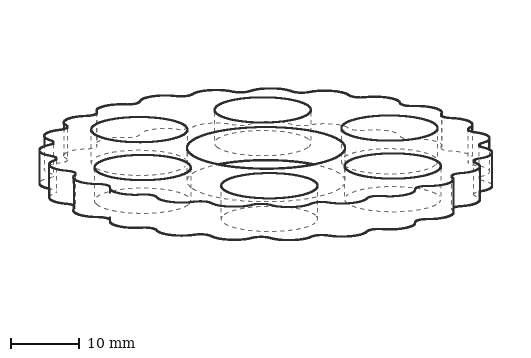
import cadquery as cq
import math

lobe_count = 23
pin_count = lobe_count + 1
eccentricity = 1.0
pin_circle_radius = 33.5
pin_radius = 1.5
thickness = 5.0

bore_diameter = 23.0

output_hole_count = 6
output_hole_diameter = 14.0
output_hole_circle_radius = 21.0

points_per_lobe = 16


def profile_point(angle):
    """Point on the lobed outline: a cycloidal curve offset inward by the pin radius."""
    lobe_phase = lobe_count * angle
    normal_tilt = math.atan2(
        -math.sin(lobe_phase),
        pin_circle_radius / (eccentricity * pin_count) - math.cos(lobe_phase),
    )
    x = (
        pin_circle_radius * math.cos(angle)
        - pin_radius * math.cos(angle + normal_tilt)
        - eccentricity * math.cos(pin_count * angle)
    )
    y = (
        pin_circle_radius * math.sin(angle)
        - pin_radius * math.sin(angle + normal_tilt)
        - eccentricity * math.sin(pin_count * angle)
    )
    return x, y


def lobed_blank():
    """Solid disc bounded by one closed, smooth lobed curve."""
    point_count = lobe_count * points_per_lobe
    angle_step = 2 * math.pi / point_count
    points = [profile_point(i * angle_step) for i in range(point_count)]
    return cq.Workplane("XY").spline(points, periodic=True).wire().extrude(thickness)


def bore():
    """Central bearing bore, through the full thickness."""
    return cq.Workplane("XY").circle(bore_diameter / 2).extrude(thickness)


def output_holes():
    """Ring of through holes for the output pins, the first on the +X axis."""
    return (
        cq.Workplane("XY")
        .polarArray(output_hole_circle_radius, 0, 360, output_hole_count)
        .circle(output_hole_diameter / 2)
        .extrude(thickness)
    )


result = lobed_blank().cut(bore()).cut(output_holes())